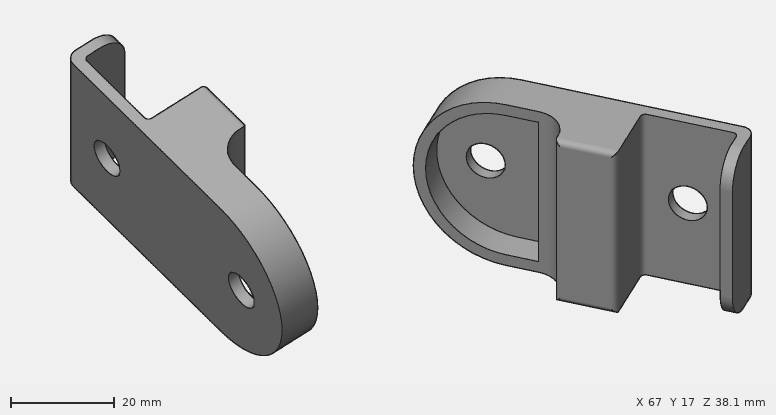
import cadquery as cq

length = 67.05
depth = 17.0
height = 38.1

wall = 2.55
lip_depth = 12.7
lip_corner_radius = 6.3
bend_radius = 2.5
inner_radius = 1.0

block_left = 22.25
block_right = 35.0
block_edge_radius = 1.2
pad_depth = 8.85
pad_fillet = 6.3

hole_diameter = 8.0
hole_positions = (12.9, 54.45)

end_radius = height / 2
end_center_x = length - end_radius

pocket_rim = 2.55
pocket_left = block_right + pad_fillet


def make_body():
    """Stepped XY section, extruded along Z and centred on Z = 0."""
    body = (
        cq.Workplane("XY")
        .polyline([
            (0, 0),
            (length, 0),
            (length, pad_depth),
            (block_right, pad_depth),
            (block_right, depth),
            (block_left, depth),
            (block_left, wall),
            (wall, wall),
            (wall, lip_depth),
            (0, lip_depth),
        ])
        .close()
        .extrude(end_radius, both=True)
    )
    body = round_upright_edge(body, 0, 0, bend_radius)
    body = round_upright_edge(body, wall, wall, inner_radius)
    body = round_upright_edge(body, block_left, wall, inner_radius)
    body = round_upright_edge(body, block_right, pad_depth, pad_fillet)
    return body.faces(">Y").edges().fillet(block_edge_radius)


def round_upright_edge(body, x, y, radius):
    """Fillet the Z-parallel edge that passes through (x, y)."""
    edge = cq.selectors.NearestToPointSelector((x, y, 0))
    return body.edges("|Z").edges(edge).fillet(radius)


def make_rounded_prism(left, half_height, y_start):
    """Prism along +Y: straight left end, semicircular right end."""
    right = end_center_x + half_height
    return (
        cq.Workplane("XZ", origin=(0, y_start, 0))
        .moveTo(left, -half_height)
        .lineTo(end_center_x, -half_height)
        .threePointArc((right, 0), (end_center_x, half_height))
        .lineTo(left, half_height)
        .close()
        .extrude(-depth)
    )


def round_lip_corners(body):
    """Round the two free corners of the lip."""
    for z in (-end_radius, end_radius):
        corner = cq.selectors.NearestToPointSelector((wall / 2, lip_depth, z))
        body = body.edges("|X").edges(corner).fillet(lip_corner_radius)
    return body


def make_holes():
    return (
        cq.Workplane("XZ")
        .pushPoints([(x, 0) for x in hole_positions])
        .circle(hole_diameter / 2)
        .extrude(-depth)
    )


body = round_lip_corners(make_body())
outline = make_rounded_prism(0, end_radius, 0)
pocket = make_rounded_prism(pocket_left, end_radius - pocket_rim, wall)
result = body.intersect(outline).cut(pocket).cut(make_holes())